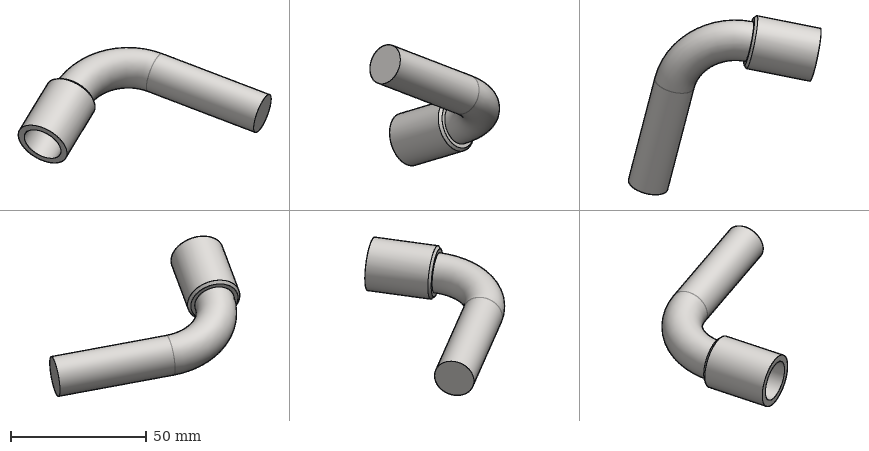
import cadquery as cq

overall_length = 77.0
rod_diameter = 15.0
socket_diameter = 20.0
socket_length = 25.0
socket_chamfer = 1.0
bore_depth = 20.0
bend_radius = 23.0

socket_radius = socket_diameter / 2
arm_length = overall_length - socket_radius - bend_radius
arm_axis_y = socket_length + bend_radius


def make_socket():
    """Cylinder along +Y, chamfered where it meets the bend."""
    return (
        cq.Workplane("XZ")
        .circle(socket_radius)
        .extrude(-socket_length)
        .faces(">Y")
        .chamfer(socket_chamfer)
    )


def make_bend():
    """Quarter turn from +Y to +X, about an axis parallel to Z."""
    return (
        cq.Workplane("XZ", origin=(0, socket_length, 0))
        .circle(rod_diameter / 2)
        .revolve(90, (bend_radius, 0), (bend_radius, -1))
    )


def make_arm():
    """Straight round rod along +X from the end of the bend."""
    return (
        cq.Workplane("YZ", origin=(bend_radius, arm_axis_y, 0))
        .circle(rod_diameter / 2)
        .extrude(arm_length)
    )


def make_bore():
    """Blind, flat-bottomed hole matching the rod diameter."""
    return cq.Workplane("XZ").circle(rod_diameter / 2).extrude(-bore_depth)


result = make_socket().union(make_bend()).union(make_arm()).cut(make_bore())